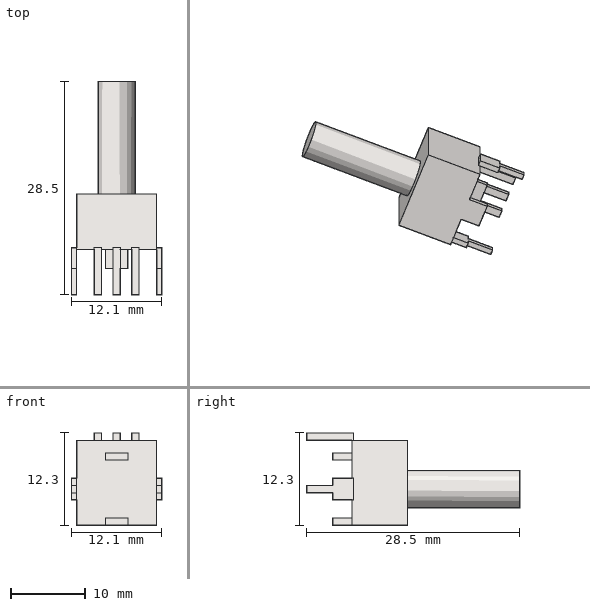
import cadquery as cq


body_width = 10.7
body_depth = 7.45
body_bottom = -4.85
body_top = 6.5

shaft_diameter = 5.0
shaft_length = 15.0

pin_reach = 6.05
pin_overlap = 0.25
pin_width = 1.0

terminal_count = 3
terminal_pitch = 2.5
terminal_height = 1.0

lug_thickness = 0.7
lug_height = 2.9
lug_reach = 2.55

peg_width = 3.0
peg_height = 1.0
peg_length = lug_reach
peg_offset = -body_bottom - peg_height / 2


def block(x_range, y_range, z_range):
    """Rectangular block between the given (low, high) limits."""
    limits = (x_range, y_range, z_range)
    size = [high - low for low, high in limits]
    corner = tuple(low for low, high in limits)
    return cq.Workplane("XY").box(*size, centered=False).translate(corner)


def span(centre, size):
    """Limits of a length placed symmetrically about its centre."""
    return (centre - size / 2, centre + size / 2)


def make_body():
    return block(span(0, body_width), (0, body_depth), (body_bottom, body_top))


def make_shaft():
    """Round shaft standing on the +Y face of the body."""
    return (
        cq.Workplane("XZ", origin=(0, body_depth, 0))
        .circle(shaft_diameter / 2)
        .extrude(-shaft_length)
    )


def make_terminal(x):
    """Straight terminal lying on the top face of the body."""
    z_range = (body_top, body_top + terminal_height)
    return block(span(x, pin_width), (-pin_reach, pin_overlap), z_range)


def make_side_lug(side):
    """Broad lug on one flank (side = -1 or +1) that narrows to a pin."""
    x_range = span(side * (body_width + lug_thickness) / 2, lug_thickness)
    lug = block(x_range, (-lug_reach, pin_overlap), span(0, lug_height))
    pin = block(x_range, (-pin_reach, -lug_reach), span(0, pin_width))
    return lug.union(pin)


def make_peg(side):
    """Flat locating peg below (side = -1) or above (side = +1) the shaft axis."""
    return block(span(0, peg_width), (-peg_length, 0), span(side * peg_offset, peg_height))


result = make_body().union(make_shaft())

for index in range(terminal_count):
    terminal_x = (index - (terminal_count - 1) / 2) * terminal_pitch
    result = result.union(make_terminal(terminal_x))

for side in (-1, 1):
    result = result.union(make_side_lug(side)).union(make_peg(side))